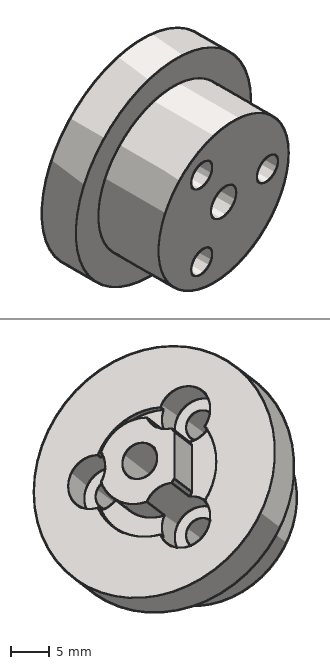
import cadquery as cq
import math

flange_diameter = 35
hub_diameter = 26.0
pilot_diameter = 12.0
recess_diameter = 18.0
bore_diameter = 5.05

total_length = 21
pilot_height = 4.5
flange_thickness = 6.0
hub_length = total_length - pilot_height - flange_thickness
recess_depth = 1.0
pilot_flat_offset = 5.0

screw_count = 3
screw_circle_radius = 8.75
screw_hole_diameter = 4.2
counterbore_diameter = 7.5
counterbore_depth = 5.0


def cylinder(diameter, start_x, length, y=0, z=0):
    """Cylinder along +X, starting at start_x and centred on (y, z)."""
    return (
        cq.Workplane("YZ", origin=(start_x, y, z))
        .circle(diameter / 2)
        .extrude(length)
    )


def flanged_hub():
    """Flange with a smaller hub behind it and a shallow round recess in front."""
    flange = cylinder(flange_diameter, pilot_height, flange_thickness)
    hub = cylinder(hub_diameter, pilot_height + flange_thickness, hub_length)
    recess = cylinder(recess_diameter, pilot_height, recess_depth)
    return flange.union(hub).cut(recess)


def pilot():
    """Pilot rising from the recess floor, with one flat on its -Y side."""
    length = pilot_height + recess_depth
    round_pilot = cylinder(pilot_diameter, 0, length)
    flat_side = cq.Workplane("XY").box(
        length, pilot_diameter, pilot_diameter, centered=(False, False, True)
    ).translate((0, -pilot_flat_offset - pilot_diameter, 0))
    return round_pilot.cut(flat_side)


def screw_cutter(angle):
    """Through hole and counterbore; the counterbore also scoops the pilot's side."""
    y = screw_circle_radius * math.cos(angle)
    z = screw_circle_radius * math.sin(angle)
    hole = cylinder(screw_hole_diameter, 0, total_length, y, z)
    counterbore = cylinder(
        counterbore_diameter, 0, pilot_height + counterbore_depth, y, z
    )
    return hole.union(counterbore)


result = flanged_hub().union(pilot())
for index in range(screw_count):
    result = result.cut(screw_cutter(2 * math.pi * index / screw_count))
result = result.cut(cylinder(bore_diameter, 0, total_length))